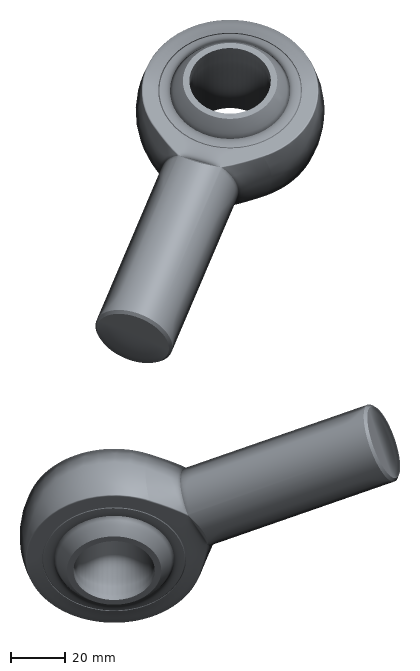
import cadquery as cq
import math

overall_length = 144.8
head_radius = 34.7
head_thickness = 25.0
shank_diameter = 30.0
shank_chamfer = 1.0
race_diameter = 52.8
race_chamfer = 0.5
rim_fillet = 0.5
bore_diameter = 30.0
ball_width = 37.0
ball_face_diameter = 34.7

shank_radius = shank_diameter / 2
half_thickness = head_thickness / 2
shank_end_y = head_radius - overall_length
ball_radius = math.hypot(ball_width / 2, ball_face_diameter / 2)
tangent_offset = head_radius * math.sqrt(0.5)
neck_end_y = shank_radius - 2 * tangent_offset


def make_head():
    """Spherical head with its tangent neck cone, flattened, with rounded flat rims."""
    cone_tip_y = -2 * tangent_offset
    head = (
        cq.Workplane("XY")
        .moveTo(0, head_radius)
        .threePointArc((head_radius, 0), (tangent_offset, -tangent_offset))
        .lineTo(0, cone_tip_y)
        .close()
        .revolve(360, (0, 0, 0), (0, 1, 0))
    )
    slab = cq.Workplane("XY").box(4 * head_radius, 4 * head_radius, head_thickness)
    rounded_head = head.intersect(slab).faces("|Z").edges("%CIRCLE").fillet(rim_fillet)
    neck_tip = cq.Workplane("XZ", origin=(0, neck_end_y, 0)).circle(head_radius).extrude(head_radius)
    return rounded_head.cut(neck_tip)


def make_shank():
    """Round shank with a chamfered free end and 45 degree ramps up from the head flats."""
    shank = (
        cq.Workplane("XZ", origin=(0, neck_end_y, 0))
        .circle(shank_radius)
        .extrude(neck_end_y - shank_end_y)
        .faces("<Y")
        .chamfer(shank_chamfer)
    )
    ramp_end_y = neck_end_y - (shank_radius - half_thickness)
    ramp_envelope = (
        cq.Workplane("YZ")
        .moveTo(neck_end_y, half_thickness)
        .lineTo(ramp_end_y, shank_radius)
        .lineTo(shank_end_y, shank_radius)
        .lineTo(shank_end_y, -shank_radius)
        .lineTo(ramp_end_y, -shank_radius)
        .lineTo(neck_end_y, -half_thickness)
        .close()
        .extrude(shank_radius, both=True)
    )
    return shank.intersect(ramp_envelope)


def make_race_blank():
    """Disc filling the head eye, chamfered at both rims."""
    return (
        cq.Workplane("XY")
        .circle(race_diameter / 2)
        .extrude(half_thickness, both=True)
        .faces("|Z")
        .edges()
        .chamfer(race_chamfer)
    )


def make_housing():
    """Rod end body with a plain round eye for the race."""
    eye = cq.Workplane("XY").circle(race_diameter / 2).extrude(half_thickness, both=True)
    return make_head().union(make_shank()).cut(eye)


def make_race():
    """Bearing ring with a spherical seat matching the ball."""
    return make_race_blank().cut(cq.Workplane("XY").sphere(ball_radius))


def make_ball():
    """Sphere truncated to the ball width and bored through along Z."""
    sleeve = (
        cq.Workplane("XY")
        .circle(ball_radius)
        .circle(bore_diameter / 2)
        .extrude(ball_width / 2, both=True)
    )
    return cq.Workplane("XY").sphere(ball_radius).intersect(sleeve)


housing = make_housing()
race = make_race()
ball = make_ball()

result = cq.Compound.makeCompound([housing.val(), race.val(), ball.val()])